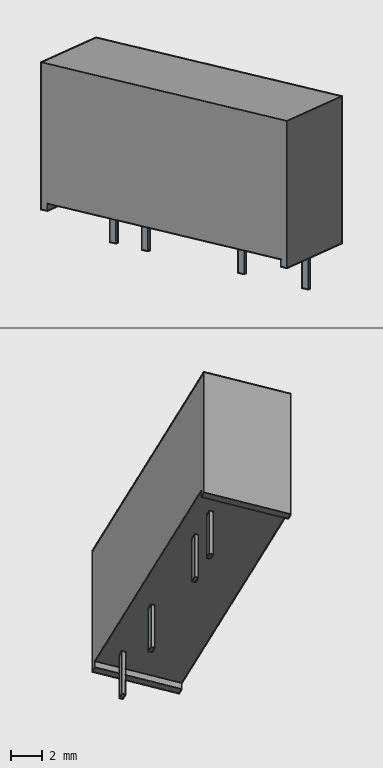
import cadquery as cq

case_length = 19.5
case_depth = 6.0
case_height = 10.0

foot_width = 0.5
foot_height = 0.5

pin_width = 0.5
pin_thickness = 0.25
pin_reach = 3.05
pin_pitch = 2.54
pin_slots = (0, 1, 4, 6)
first_pin_inset = 2.4
first_pin_x = first_pin_inset - case_length / 2
pin_inset = 1.35
pin_center_y = case_depth / 2 - pin_inset


def make_case():
    """Block with a shallow full-depth recess that leaves a foot at each end."""
    block = cq.Workplane("XY").box(case_length, case_depth, case_height, centered=(True, True, False))
    recess_length = case_length - 2 * foot_width
    recess = cq.Workplane("XY").box(recess_length, case_depth, foot_height, centered=(True, True, False))
    return block.cut(recess)


def make_pins():
    """Flat pins running down from the recessed underside of the case."""
    pin_places = [(first_pin_x + slot * pin_pitch, pin_center_y) for slot in pin_slots]
    return (
        cq.Workplane("XY", origin=(0, 0, -pin_reach))
        .pushPoints(pin_places)
        .rect(pin_width, pin_thickness)
        .extrude(pin_reach + foot_height)
    )


result = make_case().union(make_pins())